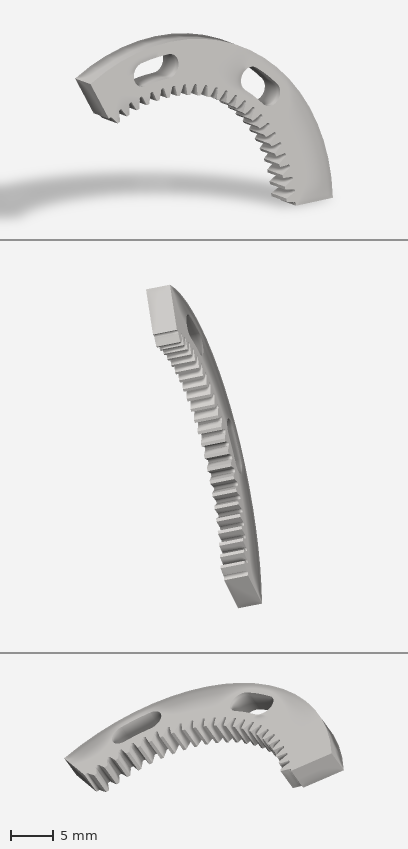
import cadquery as cq
import math

thickness = 3.0
outer_radius = 24.5
overall_length = 36.4

tooth_count = 72
pitch_angle = 360 / tooth_count
tip_radius = 17.6
flank_end_radius = 18.65
root_radius = 18.95
mouth_radius = 2 * tip_radius - flank_end_radius
gap_half_angle_at_tip = 1.85
gap_half_angle_at_flank_end = 0.75
first_gap_angle = 3.2
gap_count = 24
last_gap_angle = first_gap_angle + (gap_count - 1) * pitch_angle

base_height = 0.8
end_face_angle = 120

slot_width = 3.0
slot_radius = 21.5
slot_sweep = 10
slot_center_angles = (50.5, 95.5)


def polar(radius, angle):
    """Point in the YZ plane at a radius and an angle in degrees."""
    return (radius * math.cos(math.radians(angle)), radius * math.sin(math.radians(angle)))


def angle_at_setback(radius, setback):
    """Angle by which a line offset from the axis lags its radial line at a radius."""
    return math.degrees(math.asin(setback / radius))


def ring_sector(inner, outer, start, end):
    """Full-thickness sector of a ring, bounded by two arcs and two radial lines."""
    middle = (start + end) / 2
    return (
        cq.Workplane("YZ")
        .moveTo(*polar(inner, start))
        .threePointArc(polar(inner, middle), polar(inner, end))
        .lineTo(*polar(outer, end))
        .threePointArc(polar(outer, middle), polar(outer, start))
        .close()
        .extrude(thickness)
    )


def ring_segment():
    """Plain arched plate between the two end faces, with its bore at the tooth tips."""
    outer_start = angle_at_setback(outer_radius, base_height)
    inner_start = angle_at_setback(tip_radius, base_height)
    far_corner_y = outer_radius * math.cos(math.radians(outer_start)) - overall_length
    outer_end = math.degrees(math.acos(far_corner_y / outer_radius))
    end_face_setback = outer_radius * math.sin(math.radians(end_face_angle - outer_end))
    inner_end = end_face_angle - angle_at_setback(tip_radius, end_face_setback)
    return (
        cq.Workplane("YZ")
        .moveTo(*polar(outer_radius, outer_start))
        .threePointArc(
            polar(outer_radius, (outer_start + outer_end) / 2),
            polar(outer_radius, outer_end),
        )
        .lineTo(*polar(tip_radius, inner_end))
        .threePointArc(
            polar(tip_radius, (inner_start + inner_end) / 2),
            polar(tip_radius, inner_start),
        )
        .close()
        .extrude(thickness)
    )


def tooth_gap(center_angle):
    """Tapered gap between two teeth with a rounded root, open past the tooth tips."""
    mouth_half_angle = 2 * gap_half_angle_at_tip - gap_half_angle_at_flank_end
    return (
        cq.Workplane("YZ")
        .moveTo(*polar(mouth_radius, center_angle - mouth_half_angle))
        .lineTo(*polar(tip_radius, center_angle - gap_half_angle_at_tip))
        .lineTo(*polar(flank_end_radius, center_angle - gap_half_angle_at_flank_end))
        .threePointArc(
            polar(root_radius, center_angle),
            polar(flank_end_radius, center_angle + gap_half_angle_at_flank_end),
        )
        .lineTo(*polar(tip_radius, center_angle + gap_half_angle_at_tip))
        .lineTo(*polar(mouth_radius, center_angle + mouth_half_angle))
        .close()
        .extrude(thickness)
    )


def curved_slot(center_angle):
    """Through slot that follows an arc about the ring axis and has round ends."""
    start = center_angle - slot_sweep / 2
    end = center_angle + slot_sweep / 2
    end_radius = slot_width / 2
    inner = slot_radius - end_radius
    outer = slot_radius + end_radius
    band = ring_sector(inner, outer, start, end)
    caps = (
        cq.Workplane("YZ")
        .pushPoints([polar(slot_radius, start), polar(slot_radius, end)])
        .circle(end_radius)
        .extrude(thickness)
    )
    return band.union(caps)


result = ring_segment()
for index in range(gap_count):
    result = result.cut(tooth_gap(first_gap_angle + index * pitch_angle))
for start, end in (
    (first_gap_angle - pitch_angle / 2, first_gap_angle),
    (last_gap_angle, last_gap_angle + pitch_angle / 2),
):
    result = result.cut(ring_sector(mouth_radius, root_radius, start, end))
for slot_angle in slot_center_angles:
    result = result.cut(curved_slot(slot_angle))